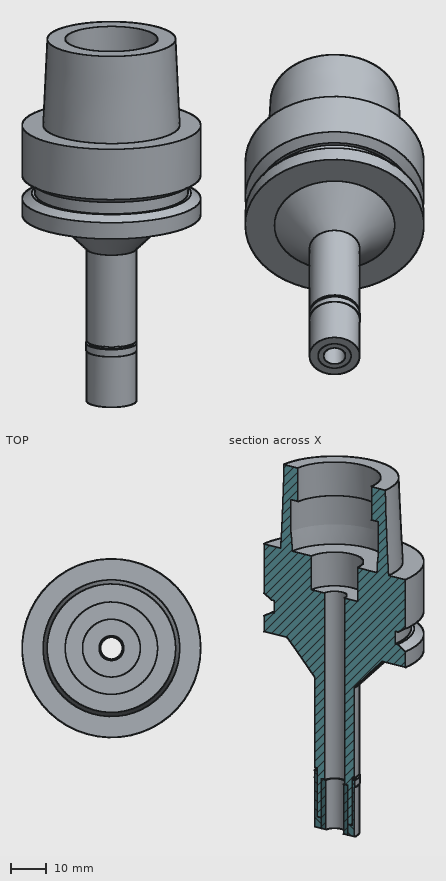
import cadquery as cq
import math

total_height = 105.0

taper_length = 25.0
taper_top_radius = 18.0
taper_base_radius = 19.1
flange_radius = 25.0
flange_width = 26.0
flange_top = total_height - taper_length
flange_bottom = flange_top - flange_width

groove_centre = flange_top - 18.0
groove_floor_half_width = 1.8
groove_floor_radius = 21.4
groove_shoulder_radius = 22.3
groove_side_angle = 60.0
groove_flare_height = (flange_radius - groove_shoulder_radius) / math.tan(math.radians(groove_side_angle))

stem_radius = 7.0
neck_top_radius = 16.8
neck_bottom = flange_bottom - (neck_top_radius - stem_radius)

socket_mouth_radius = 12.9
socket_mouth_depth = 10.0
undercut_radius = 15.3
undercut_depth = 19.3
socket_depth = taper_length
socket_wall_taper = 5.0
socket_floor_radius = undercut_radius - (socket_depth - undercut_depth) * math.tan(
    math.radians(socket_wall_taper)
)

counterbore_radius = 8.1
counterbore_depth = 10.0
through_bore_radius = 3.5

nut_radius = stem_radius
collar_radius = 7.1
collar_bottom = 14.7
nut_top = 16.8
stem_bottom = 17.5
spigot_radius = 6.3
spigot_bottom = 3.2

collet_radius = 4.6
collet_bore_radius = 3.0
collet_length = 14.7


def cylinder(radius, bottom, top):
    """Cylinder around the Z axis between two heights."""
    return cq.Workplane("XY").workplane(offset=bottom).circle(radius).extrude(top - bottom)


def revolve_profile(points):
    """Revolve a closed (radius, height) outline around the Z axis."""
    return cq.Workplane("XZ").polyline(points).close().revolve(360, (0, 0, 0), (0, 1, 0))


def make_holder_blank():
    return revolve_profile([
        (0, spigot_bottom),
        (spigot_radius, spigot_bottom),
        (spigot_radius, stem_bottom),
        (stem_radius, stem_bottom),
        (stem_radius, neck_bottom),
        (neck_top_radius, flange_bottom),
        (flange_radius, flange_bottom),
        (flange_radius, flange_top),
        (taper_base_radius, flange_top),
        (taper_top_radius, total_height),
        (0, total_height),
    ])


def make_gripper_groove():
    """Ring to cut: a flat floor, two small shoulders and flared sides."""
    floor_bottom = groove_centre - groove_floor_half_width
    floor_top = groove_centre + groove_floor_half_width
    return revolve_profile([
        (groove_floor_radius, floor_bottom),
        (groove_shoulder_radius, floor_bottom),
        (flange_radius, floor_bottom - groove_flare_height),
        (flange_radius, floor_top + groove_flare_height),
        (groove_shoulder_radius, floor_top),
        (groove_floor_radius, floor_top),
    ])


def make_socket():
    """Cavity to cut: a mouth, a wider undercut that narrows downward, and the counterbore."""
    mouth_bottom = total_height - socket_mouth_depth
    undercut_bottom = total_height - undercut_depth
    socket_floor = total_height - socket_depth
    counterbore_floor = socket_floor - counterbore_depth
    return revolve_profile([
        (0, total_height),
        (socket_mouth_radius, total_height),
        (socket_mouth_radius, mouth_bottom),
        (undercut_radius, mouth_bottom),
        (undercut_radius, undercut_bottom),
        (socket_floor_radius, socket_floor),
        (counterbore_radius, socket_floor),
        (counterbore_radius, counterbore_floor),
        (0, counterbore_floor),
    ])


def make_holder():
    through_bore = cylinder(through_bore_radius, 0, total_height)
    collet_seat = cylinder(collet_radius, 0, collet_length)
    return make_holder_blank().cut(make_gripper_groove()).cut(make_socket()).cut(through_bore).cut(collet_seat)


def make_nut():
    sleeve = cylinder(nut_radius, 0, collar_bottom)
    collar = cylinder(collar_radius, collar_bottom, nut_top)
    spigot_recess = cylinder(spigot_radius, spigot_bottom, nut_top)
    collet_opening = cylinder(collet_radius, 0, nut_top)
    return sleeve.union(collar).cut(spigot_recess).cut(collet_opening)


def make_collet():
    collet_bore = cylinder(collet_bore_radius, 0, collet_length)
    return cylinder(collet_radius, 0, collet_length).cut(collet_bore)


holder = make_holder()
nut = make_nut()
collet = make_collet()

result = cq.Compound.makeCompound([holder.val(), nut.val(), collet.val()])